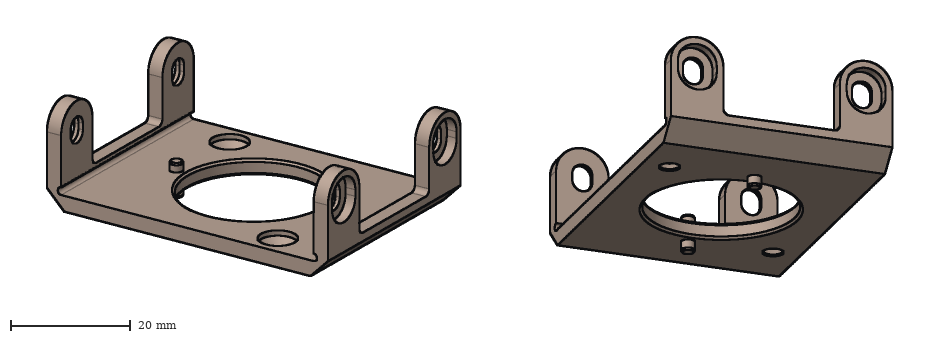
import cadquery as cq

length = 56.7
width = 39.65
thickness = 2.9
wall_height = 18.4
edge_chamfer = 3.5

relief_radius = 0.7

lug_radius = 4.7
sill_height = 5.1
sill_fillet = 1.0
lug_y = width / 2 - lug_radius

slot_width = 3.6
slot_travel = 1.2
slot_z = 13.05
counterbore_width = 7.0
counterbore_depth = 2.0

bore_diameter = 26.45
bore_chamfer = 0.45

screw_diameter = 3.6
screw_head_diameter = 6.75
screw_head_land = 0.95
screw_offset = 15.0

pin_diameter = 2.4
pin_offset = 15.6
pin_below = 1.8
pin_above = 1.65
pin_chamfer_width = 0.2
pin_chamfer_height = 0.35


def channel():
    """Base and two walls, extruded along Y from a U-shaped section."""
    outer_x = length / 2
    inner_x = outer_x - thickness
    relief_z = thickness + relief_radius
    section = (
        cq.Workplane("XZ")
        .moveTo(0, 0)
        .lineTo(outer_x - edge_chamfer, 0)
        .lineTo(outer_x, edge_chamfer)
        .lineTo(outer_x, wall_height)
        .lineTo(inner_x, wall_height)
        .lineTo(inner_x, relief_z + relief_radius)
        .threePointArc((inner_x + relief_radius, relief_z), (inner_x, thickness))
        .lineTo(0, thickness)
        .close()
    )
    half = section.extrude(width / 2, both=True)
    return half.union(half.mirror("YZ"))


def wall_profile():
    """Prism along X whose YZ outline is the base, the sill and the two lugs."""
    arc_z = wall_height - lug_radius
    gap_y = lug_y - lug_radius
    blank = cq.Workplane("YZ").rect(width, 2 * sill_height).extrude(length / 2, both=True)
    for side in (-1, 1):
        post = (
            cq.Workplane("YZ")
            .center(side * lug_y, arc_z / 2)
            .rect(2 * lug_radius, arc_z)
            .extrude(length / 2, both=True)
        )
        crown = (
            cq.Workplane("YZ")
            .center(side * lug_y, arc_z)
            .circle(lug_radius)
            .extrude(length / 2, both=True)
        )
        blank = blank.union(post).union(crown)
    sill_corners = cq.selectors.BoxSelector(
        (-length, -gap_y - sill_fillet / 2, sill_height - sill_fillet / 2),
        (length, gap_y + sill_fillet / 2, sill_height + sill_fillet / 2),
    )
    return blank.edges("|X").edges(sill_corners).fillet(sill_fillet)


def upright_slot(slot_size, y, x_start, depth):
    """Cutter for a vertical slot in a lug, running along +X from x_start."""
    return (
        cq.Workplane("YZ", origin=(x_start, y, slot_z))
        .slot2D(slot_size + slot_travel, slot_size, 90)
        .extrude(depth)
    )


def cut_lug_slots(body):
    for y in (-lug_y, lug_y):
        body = body.cut(upright_slot(slot_width, y, -length / 2, length))
        body = body.cut(upright_slot(counterbore_width, y, -length / 2, counterbore_depth))
        body = body.cut(
            upright_slot(counterbore_width, y, length / 2 - counterbore_depth, counterbore_depth)
        )
    return body


def cut_bore(body):
    """Central opening, bevelled alike on the top and the underside."""
    bore_radius = bore_diameter / 2
    rim_radius = bore_radius + bore_chamfer
    cutter = (
        cq.Workplane("XZ")
        .moveTo(0, 0)
        .lineTo(rim_radius, 0)
        .lineTo(bore_radius, bore_chamfer)
        .lineTo(bore_radius, thickness - bore_chamfer)
        .lineTo(rim_radius, thickness)
        .lineTo(0, thickness)
        .close()
        .revolve(360, (0, 0, 0), (0, 1, 0))
    )
    return body.cut(cutter)


def screw_cutter():
    """Revolved cutter: through hole, 90 degree cone, then a short straight land."""
    hole_radius = screw_diameter / 2
    head_radius = screw_head_diameter / 2
    cone_top = thickness - screw_head_land
    cone_bottom = cone_top - (head_radius - hole_radius)
    return (
        cq.Workplane("XZ")
        .moveTo(0, 0)
        .lineTo(hole_radius, 0)
        .lineTo(hole_radius, cone_bottom)
        .lineTo(head_radius, cone_top)
        .lineTo(head_radius, thickness)
        .lineTo(0, thickness)
        .close()
        .revolve(360, (0, 0, 0), (0, 1, 0))
    )


def make_bracket():
    body = channel().intersect(wall_profile())
    body = cut_lug_slots(body)
    body = cut_bore(body)
    for side in (-1, 1):
        body = body.cut(screw_cutter().translate((side * screw_offset, -side * screw_offset, 0)))
        pin_hole = cq.Workplane("XY").center(side * pin_offset, 0).circle(pin_diameter / 2)
        body = body.cut(pin_hole.extrude(thickness))
    return body


def make_pin(x):
    """Pin with a steep bevel on both ends, revolved about its own axis."""
    radius = pin_diameter / 2
    tip_radius = radius - pin_chamfer_width
    top = thickness + pin_above
    return (
        cq.Workplane("XZ", origin=(x, 0, 0))
        .moveTo(0, -pin_below)
        .lineTo(tip_radius, -pin_below)
        .lineTo(radius, pin_chamfer_height - pin_below)
        .lineTo(radius, top - pin_chamfer_height)
        .lineTo(tip_radius, top)
        .lineTo(0, top)
        .close()
        .revolve(360, (0, 0, 0), (0, 1, 0))
    )


bracket = make_bracket()
pins = [make_pin(side * pin_offset) for side in (-1, 1)]

result = cq.Compound.makeCompound([bracket.val(), *[pin.val() for pin in pins]])